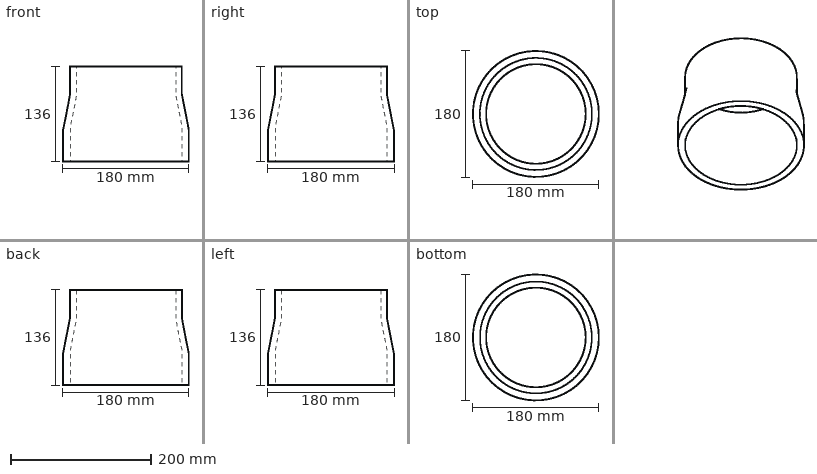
import cadquery as cq
import math

total_height = 136.0
lower_height = 45.0
upper_height = 40.0
lower_outer_radius = 180.0 / 2
upper_outer_radius = 160.0 / 2
lower_wall = 10.2
upper_wall = 9.1
cone_wall = upper_wall

cone_bottom = lower_height
cone_top = total_height - upper_height
cone_height = cone_top - cone_bottom
cone_inset = lower_outer_radius - upper_outer_radius
cone_half_angle = math.atan2(cone_inset, cone_height)

lower_bore_radius = lower_outer_radius - lower_wall
upper_bore_radius = upper_outer_radius - upper_wall
cone_wall_horizontal = cone_wall / math.cos(cone_half_angle)


def inner_cone_height_at(radius):
    """Z at which the inner cone has the given radius."""
    radius_at_outer_base = lower_outer_radius - cone_wall_horizontal
    return cone_bottom + (radius_at_outer_base - radius) / math.tan(cone_half_angle)


inner_cone_bottom = inner_cone_height_at(lower_bore_radius)
inner_cone_top = inner_cone_height_at(upper_bore_radius)


def make_reducer():
    """Revolve the wall section, drawn as radius and height, about Z."""
    wall_section = (
        cq.Workplane("XZ")
        .moveTo(lower_bore_radius, 0)
        .lineTo(lower_outer_radius, 0)
        .lineTo(lower_outer_radius, cone_bottom)
        .lineTo(upper_outer_radius, cone_top)
        .lineTo(upper_outer_radius, total_height)
        .lineTo(upper_bore_radius, total_height)
        .lineTo(upper_bore_radius, inner_cone_top)
        .lineTo(lower_bore_radius, inner_cone_bottom)
        .close()
    )
    return wall_section.revolve(360, (0, 0, 0), (0, 1, 0))


result = make_reducer()